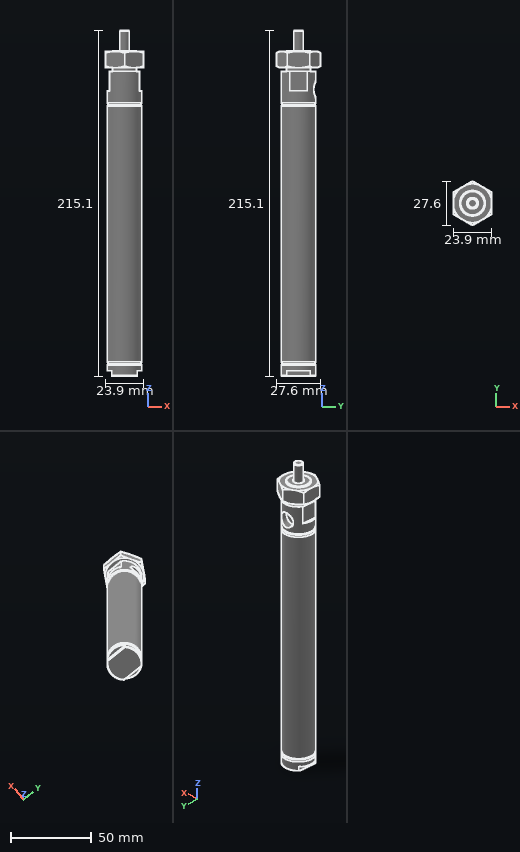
import cadquery as cq
import math

TOTAL_LENGTH = 215.1

ROD_DIAMETER = 6.0
ROD_CHAMFER = 0.5
ROD_SOCKET_DEPTH = 20.0

NECK_TOP = 202.5
NECK_DIAMETER = 16.0
NECK_CHAMFER = 0.6
BORE_COUNTERSINK = 0.54

RELIEF_DIAMETER = 15.0

NUT_ACROSS_FLATS = 23.9
NUT_BOTTOM = 192.0
NUT_HEIGHT = 10.1
NUT_TURN = 30.0
NUT_CHAMFER_ANGLE = 30.0
NUT_FACE_DIAMETER = 24.0

BODY_DIAMETER = 21.7
BODY_TOP = 189.5
BODY_END_CHAMFER = 0.5

GROOVE_DEPTH = 0.6
GROOVE_HEIGHT = 2.4
UPPER_GROOVE_BOTTOM = 167.8
LOWER_GROOVE_BOTTOM = 6.7

HEAD_FLATS_WIDTH = 19.0
HEAD_FLATS_BOTTOM = 177.5
TAIL_FLATS_WIDTH = 16.0
TAIL_FLATS_HEIGHT = 3.2

PORT_DIAMETER = 10.3
PORT_HEIGHT = 178.4
PORT_DEPTH = 5.4

body_radius = BODY_DIAMETER / 2
neck_radius = NECK_DIAMETER / 2
relief_radius = RELIEF_DIAMETER / 2
rod_radius = ROD_DIAMETER / 2
rod_bottom = NECK_TOP - ROD_SOCKET_DEPTH


def v_groove(profile, bottom):
    """Continue a profile up the body wall and through a V groove that starts at bottom."""
    return (
        profile.lineTo(body_radius, bottom)
        .lineTo(body_radius - GROOVE_DEPTH, bottom + GROOVE_HEIGHT / 2)
        .lineTo(body_radius, bottom + GROOVE_HEIGHT)
    )


def flats_cutter(width, bottom, top):
    """A block with a through slot of the given width along Y, which leaves two parallel flats."""
    size = 2 * BODY_DIAMETER
    plane = cq.Workplane("XY", origin=(0, 0, bottom))
    block = plane.rect(size, size).extrude(top - bottom)
    slot = plane.rect(width, size).extrude(top - bottom)
    return block.cut(slot)


def make_housing():
    """Cylinder body with its threaded neck, wrench flats, air port and rod bore."""
    profile = (
        cq.Workplane("XZ")
        .moveTo(0, 0)
        .lineTo(body_radius - BODY_END_CHAMFER, 0)
        .lineTo(body_radius, BODY_END_CHAMFER)
    )
    profile = v_groove(profile, LOWER_GROOVE_BOTTOM)
    profile = v_groove(profile, UPPER_GROOVE_BOTTOM)
    housing = (
        profile.lineTo(body_radius, BODY_TOP)
        .lineTo(relief_radius, BODY_TOP)
        .lineTo(relief_radius, NUT_BOTTOM)
        .lineTo(neck_radius, NUT_BOTTOM)
        .lineTo(neck_radius, NECK_TOP - NECK_CHAMFER)
        .lineTo(neck_radius - NECK_CHAMFER, NECK_TOP)
        .lineTo(rod_radius + BORE_COUNTERSINK, NECK_TOP)
        .lineTo(rod_radius, NECK_TOP - BORE_COUNTERSINK)
        .lineTo(rod_radius, rod_bottom)
        .lineTo(0, rod_bottom)
        .close()
        .revolve(360, (0, 0, 0), (0, 1, 0))
    )
    port = (
        cq.Workplane("XZ", origin=(0, body_radius, PORT_HEIGHT))
        .circle(PORT_DIAMETER / 2)
        .extrude(PORT_DEPTH)
    )
    return (
        housing.cut(flats_cutter(HEAD_FLATS_WIDTH, HEAD_FLATS_BOTTOM, BODY_TOP))
        .cut(flats_cutter(TAIL_FLATS_WIDTH, 0, TAIL_FLATS_HEIGHT))
        .cut(port)
    )


def make_nut():
    """Hexagon nut around the neck, with its corners chamfered at both ends."""
    corner_radius = NUT_ACROSS_FLATS / math.sqrt(3)
    face_radius = NUT_FACE_DIAMETER / 2
    chamfer_drop = (corner_radius - face_radius) * math.tan(math.radians(NUT_CHAMFER_ANGLE))
    nut_top = NUT_BOTTOM + NUT_HEIGHT
    hexagon = (
        cq.Workplane("XY", origin=(0, 0, NUT_BOTTOM))
        .polygon(6, 2 * corner_radius)
        .extrude(NUT_HEIGHT)
        .rotate((0, 0, 0), (0, 0, 1), NUT_TURN)
    )
    chamfered_envelope = (
        cq.Workplane("XZ")
        .moveTo(neck_radius, NUT_BOTTOM)
        .lineTo(face_radius, NUT_BOTTOM)
        .lineTo(corner_radius, NUT_BOTTOM + chamfer_drop)
        .lineTo(corner_radius, nut_top - chamfer_drop)
        .lineTo(face_radius, nut_top)
        .lineTo(neck_radius, nut_top)
        .close()
        .revolve(360, (0, 0, 0), (0, 1, 0))
    )
    return hexagon.intersect(chamfered_envelope)


def make_rod():
    """Piston rod that fills the bore and stands out of the neck."""
    return (
        cq.Workplane("XY", origin=(0, 0, rod_bottom))
        .circle(rod_radius)
        .extrude(TOTAL_LENGTH - rod_bottom)
        .faces(">Z")
        .chamfer(ROD_CHAMFER)
    )


housing = make_housing()
nut = make_nut()
rod = make_rod()

result = cq.Compound.makeCompound([housing.val(), nut.val(), rod.val()])